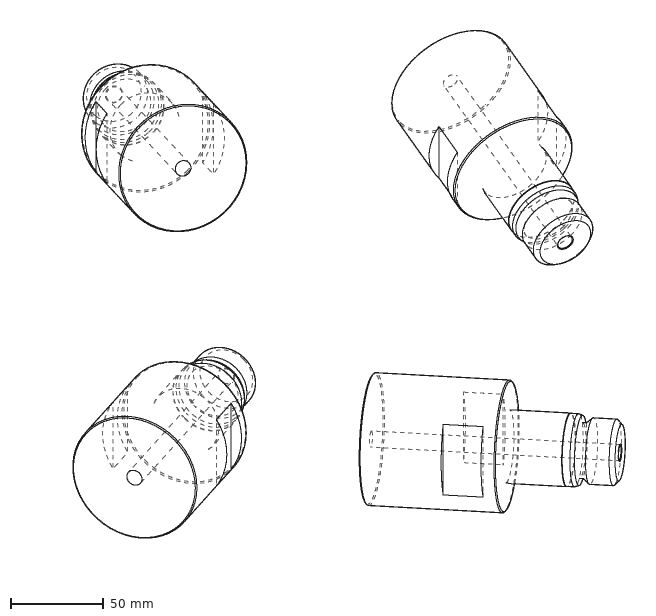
import cadquery as cq
import math

total_length = 137.0
body_radius = 36.0
body_start = 62.0
body_chamfer = 0.7

nose_radius = 18.1
nose_chamfer = 2.7
nose_end = 15.8
neck_radius = 15.2
neck_end = 21.6
neck_cone_angle = 40.0
neck_cone_fillet = 1.1
neck_corner_fillet = 0.3

shank_radius = 20.0
pilot_radius = 19.9
lead_in_end = 24.0
lead_in_start_radius = 19.0
pilot_end = 28.2
pilot_taper_length = 0.3

relief_start = 59.6
relief_radius = 19.7
relief_slope_length = 1.2
relief_face_depth = 0.1
relief_outer_radius = 21.9
relief_fillet = 0.5

match_tolerance = 0.001

bore_radius = 4.4
bore_chamfer = 0.4

flat_start = 69.9
flat_end = 91.8
across_flats = 60.0


def make_turned_body():
    """Revolve the half profile, listed as (X, radius)."""
    cone_length = (nose_radius - neck_radius) / math.tan(math.radians(neck_cone_angle))
    neck_start = nose_end + cone_length
    relief_bottom = body_start + relief_face_depth

    profile = [
        (0, 0),
        (0, nose_radius - nose_chamfer),
        (nose_chamfer, nose_radius),
        (nose_end, nose_radius),
        (neck_start, neck_radius),
        (neck_end, neck_radius),
        (neck_end, lead_in_start_radius),
        (lead_in_end, pilot_radius),
        (pilot_end, pilot_radius),
        (pilot_end + pilot_taper_length, shank_radius),
        (relief_start, shank_radius),
        (relief_start + relief_slope_length, relief_radius),
        (relief_bottom, relief_radius),
        (body_start, relief_outer_radius),
        (body_start, body_radius - body_chamfer),
        (body_start + body_chamfer, body_radius),
        (total_length - body_chamfer, body_radius),
        (total_length, body_radius - body_chamfer),
        (total_length, 0),
    ]
    body = cq.Workplane("XY").polyline(profile).close().revolve(360, (0, 0, 0), (1, 0, 0))

    inner_corners = [
        (neck_start, neck_radius, neck_cone_fillet),
        (neck_end, neck_radius, neck_corner_fillet),
        (relief_bottom, relief_radius, relief_fillet),
    ]
    for x, radius, fillet in inner_corners:
        body = body.edges("%CIRCLE").filter(
            lambda edge: math.isclose(edge.Center().x, x, abs_tol=match_tolerance)
            and math.isclose(edge.radius(), radius, abs_tol=match_tolerance)
        ).fillet(fillet)
    return body


def cut_bore(body):
    """Drill the bore through and chamfer its mouth in the nose face."""
    bore = cq.Workplane("YZ").circle(bore_radius).extrude(total_length)
    mouth = cq.selectors.RadiusNthSelector(0)
    return body.cut(bore).faces("<X").edges(mouth).chamfer(bore_chamfer)


def cut_wrench_flats(body):
    """Mill one flat-bottomed slot across the body on each Y side."""
    flat_depth = body_radius - across_flats / 2
    for side in (-1, 1):
        cutter = cq.Workplane("XY").box(
            flat_end - flat_start, flat_depth, 2 * body_radius
        ).translate(((flat_start + flat_end) / 2, side * (across_flats + flat_depth) / 2, 0))
        body = body.cut(cutter)
    return body


result = cut_wrench_flats(cut_bore(make_turned_body()))